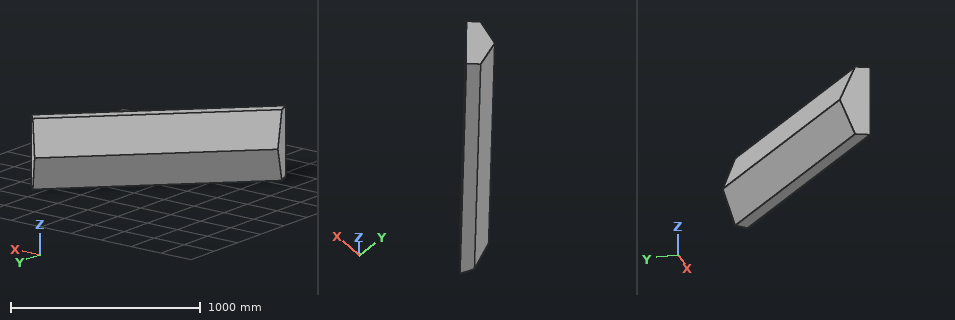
import cadquery as cq
import math

overall_y = 1065.0
height = 391.0
depth = 150.0
bar_angle = 45.0
miter_angle = 22.5

turn = math.radians(bar_angle)
back_length = (overall_y - depth * math.cos(turn)) / math.sin(turn)
miter_setback = depth * math.tan(math.radians(miter_angle))
shoulder_depth = depth / 2


def ridged_bar():
    """Square-ended bar along +X: flat back at Y = 0, ridge at Y = depth."""
    half_height = height / 2
    profile = [
        (0, -half_height),
        (shoulder_depth, -half_height),
        (depth, 0),
        (shoulder_depth, half_height),
        (0, half_height),
    ]
    return cq.Workplane("YZ").polyline(profile).close().extrude(back_length)


def miter_waste():
    """Wedge removed from the start of the bar to leave the mitred end."""
    triangle = [(0, 0), (miter_setback, depth), (0, depth)]
    return cq.Workplane("XY").polyline(triangle).close().extrude(height / 2, both=True)


result = ridged_bar().cut(miter_waste()).rotate((0, 0, 0), (0, 0, 1), bar_angle)